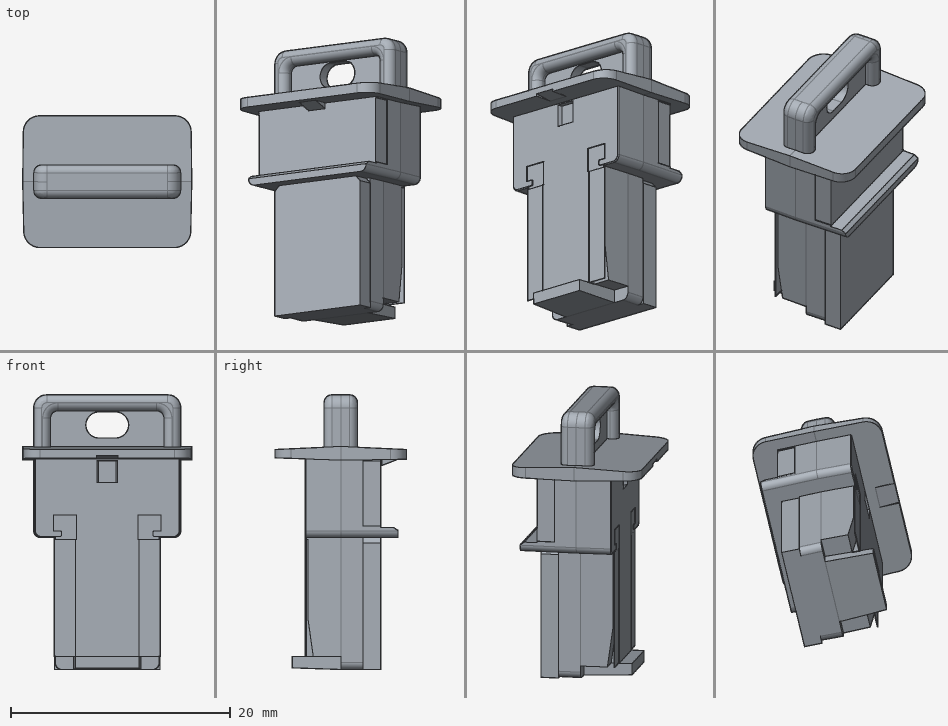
import cadquery as cq

OVERALL_HEIGHT = 25.0
DRAFT = 0.02

PLATE_HALF_WIDTH = 7.7
PLATE_FRONT_HALF_WIDTH = 7.58
PLATE_BACK_HALF_WIDTH = 7.62
PLATE_HALF_DEPTH = 6.0
PLATE_CORNER_RADIUS = 1.5
PLATE_RIDGE_TOP = 20.3
PLATE_EDGE_TOP = 20.02
PLATE_RIDGE_BOTTOM = 19.05
PLATE_FRONT_BOTTOM = 19.25
PLATE_BACK_BOTTOM = 19.12

HANDLE_HALF_WIDTH = 6.7
HANDLE_HALF_DEPTH = 1.52
HANDLE_ROOT = 19.38
HANDLE_END_RADIUS = 1.2
HANDLE_EDGE_RADIUS = 0.72
POCKET_HALF_WIDTH = 5.15
POCKET_TOP = 23.52
POCKET_CORNER_RADIUS = 0.65
WEB_HALF_THICKNESS = 0.55
SLOT_LENGTH = 3.88
SLOT_HEIGHT = 2.35
SLOT_CENTRE_Z = 22.25

COLLAR_HALF_WIDTH = HANDLE_HALF_WIDTH
COLLAR_BOTTOM = 12.0
COLLAR_TOP = 19.38
BODY_FRONT_Y = -3.25
BODY_BACK_Y = 3.65
COLLAR_CORNER_RADIUS = 0.62
COLLAR_FRONT_CHAMFER = 0.1
FIN_BACK_Y = 5.22
FIN_TOP = 12.92
FIN_CHAMFER_DEPTH = 0.4
FIN_CHAMFER_HEIGHT = 0.28
SIDE_RECESS_DEPTH = 0.1
SIDE_RECESS_BOTTOM = 13.05
SIDE_RECESS_TOP = 18.98

LEG_HALF_WIDTH = 4.75
LEG_FRONT_Y = -3.0
LEG_FRONT_BOTTOM = 1.2
LEG_BOTTOM_RADIUS = 0.62
LEG_TAPER_TOP = 4.75
LEG_TAPER_DEPTH = 0.5
BACK_BLOCK_HALF_WIDTH = 4.8
BACK_BLOCK_Y = 2.02
BACK_BLOCK_CHAMFER = 0.5
TONGUE_HALF_WIDTH = 2.88
FOOT_ROOT_HALF_WIDTH = 3.05
FOOT_FRONT_Y = -4.42
FOOT_FRONT_BOTTOM = 0.15

LATCH_HALF_WIDTH = 0.92
LATCH_OUTER_Y = 5.22
LATCH_INNER_Y = 3.72
LATCH_TIP_Z = 18.55
WINDOW_FLOOR_HALF_WIDTH = 0.8
WINDOW_DEPTH = 0.38
WINDOW_BOTTOM = 17.0
WINDOW_TOP = 18.98
GROOVE_HALF_WIDTH = 1.0
GROOVE_FRONT_TOP = 19.48

TERMINAL_HALF_SPAN = 4.82
TERMINAL_BACK_Y = -3.12
TERMINAL_THICKNESS = 0.08
HOOK_HALF_SPAN = 4.9
HOOK_TOP = 14.05
HOOK_INNER_X = 2.78
HOOK_STEP_Z = 11.85
NUB_TIP_X = 4.18
NUB_TOP = 12.62
NUB_BOTTOM = COLLAR_BOTTOM + COLLAR_FRONT_CHAMFER
NUB_RADIUS = 0.12


def block(half_width, y_range, z_range):
    """A box centred on X = 0 between two Y values and two Z values."""
    front, back = y_range
    bottom, top = z_range
    corner = cq.Workplane("XY", origin=(0, front, bottom))
    return corner.box(2 * half_width, back - front, top - bottom, centered=(True, False, False))


def side_profile(points, half_width):
    """A (Y, Z) outline extruded symmetrically along X."""
    return cq.Workplane("YZ").polyline(points).close().extrude(half_width, both=True)


def drafted_block(half_width, y_range, z_range):
    """A block like block(), but narrowing in X with distance from the parting plane."""
    front, back = y_range
    front_half_width = half_width - DRAFT * abs(front)
    back_half_width = half_width - DRAFT * abs(back)
    right_side = [(front_half_width, front), (half_width, 0), (back_half_width, back)]
    left_side = [(-x, y) for x, y in reversed(right_side)]
    outline = right_side + left_side
    bottom, top = z_range
    return cq.Workplane("XY").workplane(offset=bottom).polyline(outline).close().extrude(top - bottom)


def corner_edges(body, half_width, z):
    """The edges of a drafted block that run along Y at X = +-half_width and height z."""
    reach = 0.25
    picked = body.newObject([])
    for x in (-half_width, half_width):
        corner_box = cq.selectors.BoxSelector(
            (x - reach, -PLATE_HALF_DEPTH, z - reach), (x + reach, PLATE_HALF_DEPTH, z + reach)
        )
        picked = picked.add(body.edges(corner_box))
    return picked


def make_plate():
    half_depth = PLATE_HALF_DEPTH
    gable = side_profile(
        [
            (-half_depth, PLATE_FRONT_BOTTOM),
            (0, PLATE_RIDGE_BOTTOM),
            (half_depth, PLATE_BACK_BOTTOM),
            (half_depth, PLATE_EDGE_TOP),
            (0, PLATE_RIDGE_TOP),
            (-half_depth, PLATE_EDGE_TOP),
        ],
        PLATE_HALF_WIDTH,
    )
    outline = (
        cq.Workplane("XY")
        .polyline(
            [
                (-PLATE_FRONT_HALF_WIDTH, -half_depth),
                (PLATE_FRONT_HALF_WIDTH, -half_depth),
                (PLATE_HALF_WIDTH, 0),
                (PLATE_BACK_HALF_WIDTH, half_depth),
                (-PLATE_BACK_HALF_WIDTH, half_depth),
                (-PLATE_HALF_WIDTH, 0),
            ]
        )
        .close()
        .extrude(OVERALL_HEIGHT)
        .edges("|Z and (<Y or >Y)")
        .fillet(PLATE_CORNER_RADIUS)
    )
    return gable.intersect(outline)


def make_handle():
    depth_range = (-HANDLE_HALF_DEPTH, HANDLE_HALF_DEPTH)
    bar = drafted_block(HANDLE_HALF_WIDTH, depth_range, (HANDLE_ROOT, OVERALL_HEIGHT))
    bar = corner_edges(bar, HANDLE_HALF_WIDTH, OVERALL_HEIGHT).fillet(HANDLE_END_RADIUS)
    pocket = block(POCKET_HALF_WIDTH, depth_range, (HANDLE_ROOT, POCKET_TOP))
    pocket = pocket.edges("|Y and >Z").fillet(POCKET_CORNER_RADIUS)
    web = block(POCKET_HALF_WIDTH, (-WEB_HALF_THICKNESS, WEB_HALF_THICKNESS), (HANDLE_ROOT, POCKET_TOP))
    rim = bar.cut(pocket.cut(web))
    rim = rim.faces("<Y or >Y").edges("not <Z").fillet(HANDLE_EDGE_RADIUS)
    slot = (
        cq.Workplane("XZ")
        .center(0, SLOT_CENTRE_Z)
        .slot2D(SLOT_LENGTH, SLOT_HEIGHT)
        .extrude(HANDLE_HALF_DEPTH, both=True)
    )
    return rim.cut(slot)


def make_collar():
    collar = drafted_block(COLLAR_HALF_WIDTH, (BODY_FRONT_Y, FIN_BACK_Y), (COLLAR_BOTTOM, COLLAR_TOP))
    collar = corner_edges(collar, COLLAR_HALF_WIDTH, COLLAR_BOTTOM).fillet(COLLAR_CORNER_RADIUS)
    collar = collar.faces("<Y").edges("not >Z").chamfer(COLLAR_FRONT_CHAMFER)
    above_fin = side_profile(
        [
            (BODY_BACK_Y, COLLAR_TOP),
            (BODY_BACK_Y, FIN_TOP),
            (FIN_BACK_Y - FIN_CHAMFER_DEPTH, FIN_TOP),
            (FIN_BACK_Y, FIN_TOP - FIN_CHAMFER_HEIGHT),
            (FIN_BACK_Y, COLLAR_TOP),
        ],
        COLLAR_HALF_WIDTH,
    )
    recess_z = (SIDE_RECESS_BOTTOM, SIDE_RECESS_TOP)
    kept_core = drafted_block(COLLAR_HALF_WIDTH - SIDE_RECESS_DEPTH, (BODY_FRONT_Y, BODY_BACK_Y), recess_z)
    side_recesses = block(COLLAR_HALF_WIDTH, (BACK_BLOCK_Y, BODY_BACK_Y), recess_z).cut(kept_core)
    return collar.cut(above_fin).cut(side_recesses)


def make_leg():
    core = drafted_block(LEG_HALF_WIDTH, (TERMINAL_BACK_Y, BACK_BLOCK_Y), (0, COLLAR_BOTTOM))
    core = corner_edges(core, LEG_HALF_WIDTH, 0).fillet(LEG_BOTTOM_RADIUS)
    profile = side_profile(
        [
            (BACK_BLOCK_Y, 0),
            (0, 0),
            (0, LEG_FRONT_BOTTOM),
            (LEG_FRONT_Y + LEG_TAPER_DEPTH, LEG_FRONT_BOTTOM),
            (LEG_FRONT_Y, LEG_TAPER_TOP),
            (LEG_FRONT_Y, HOOK_STEP_Z),
            (TERMINAL_BACK_Y, HOOK_STEP_Z),
            (TERMINAL_BACK_Y, COLLAR_BOTTOM),
            (BACK_BLOCK_Y, COLLAR_BOTTOM),
        ],
        LEG_HALF_WIDTH,
    )
    core = core.intersect(profile)
    back = block(BACK_BLOCK_HALF_WIDTH, (BACK_BLOCK_Y, BODY_BACK_Y), (0, COLLAR_BOTTOM))
    back = back.edges("|Y and >Z").chamfer(BACK_BLOCK_CHAMFER)
    tongue = block(TONGUE_HALF_WIDTH, (BODY_FRONT_Y, 0), (LEG_FRONT_BOTTOM, HOOK_STEP_Z))
    tongue_neck = block(HOOK_INNER_X, (BODY_FRONT_Y, 0), (HOOK_STEP_Z, NUB_BOTTOM))
    return core.union(back).union(tongue).union(tongue_neck)


def make_foot():
    side = side_profile(
        [
            (0, 0),
            (0, LEG_FRONT_BOTTOM),
            (FOOT_FRONT_Y, LEG_FRONT_BOTTOM),
            (FOOT_FRONT_Y, FOOT_FRONT_BOTTOM),
        ],
        FOOT_ROOT_HALF_WIDTH,
    )
    outline = (
        cq.Workplane("XY")
        .polyline(
            [
                (-FOOT_ROOT_HALF_WIDTH, 0),
                (-TONGUE_HALF_WIDTH, FOOT_FRONT_Y),
                (TONGUE_HALF_WIDTH, FOOT_FRONT_Y),
                (FOOT_ROOT_HALF_WIDTH, 0),
            ]
        )
        .close()
        .extrude(LEG_FRONT_BOTTOM)
    )
    return side.intersect(outline)


def make_latch():
    return side_profile(
        [
            (LATCH_OUTER_Y, PLATE_BACK_BOTTOM),
            (LATCH_INNER_Y, LATCH_TIP_Z),
            (LATCH_INNER_Y, PLATE_EDGE_TOP),
            (LATCH_OUTER_Y, PLATE_EDGE_TOP),
        ],
        LATCH_HALF_WIDTH,
    )


def make_window_cut():
    """Pocket in the collar front whose sloping ceiling runs out through the plate edge."""
    floor_y = BODY_FRONT_Y + WINDOW_DEPTH
    ceiling_slope = (GROOVE_FRONT_TOP - WINDOW_TOP) / (-PLATE_HALF_DEPTH - floor_y)
    mouth_top = WINDOW_TOP + ceiling_slope * (BODY_FRONT_Y - floor_y)
    pocket = (
        cq.Workplane("XY")
        .workplane(offset=WINDOW_BOTTOM)
        .polyline(
            [
                (-LATCH_HALF_WIDTH, BODY_FRONT_Y),
                (LATCH_HALF_WIDTH, BODY_FRONT_Y),
                (WINDOW_FLOOR_HALF_WIDTH, floor_y),
                (-WINDOW_FLOOR_HALF_WIDTH, floor_y),
            ]
        )
        .close()
        .extrude(mouth_top - WINDOW_BOTTOM)
    )
    pocket = pocket.intersect(
        side_profile(
            [
                (BODY_FRONT_Y, WINDOW_BOTTOM),
                (floor_y, WINDOW_BOTTOM),
                (floor_y, WINDOW_TOP),
                (BODY_FRONT_Y, mouth_top),
            ],
            LATCH_HALF_WIDTH,
        )
    )
    groove = side_profile(
        [
            (-PLATE_HALF_DEPTH, PLATE_RIDGE_BOTTOM),
            (-PLATE_HALF_DEPTH, GROOVE_FRONT_TOP),
            (BODY_FRONT_Y, mouth_top),
        ],
        GROOVE_HALF_WIDTH,
    )
    return pocket.union(groove)


def terminal_blank(side, front_y):
    """Terminal outline on the side +1 or -1 of X, from its back face out to front_y."""
    outline = [
        (TONGUE_HALF_WIDTH, LEG_FRONT_BOTTOM),
        (TERMINAL_HALF_SPAN, LEG_FRONT_BOTTOM),
        (TERMINAL_HALF_SPAN, NUB_BOTTOM),
        (NUB_TIP_X, NUB_BOTTOM),
        (NUB_TIP_X, NUB_TOP),
        (HOOK_HALF_SPAN, NUB_TOP),
        (HOOK_HALF_SPAN, HOOK_TOP),
        (HOOK_INNER_X, HOOK_TOP),
        (HOOK_INNER_X, HOOK_STEP_Z),
        (TONGUE_HALF_WIDTH, HOOK_STEP_Z),
    ]
    blank = (
        cq.Workplane("XZ", origin=(0, TERMINAL_BACK_Y, 0))
        .polyline([(side * x, z) for x, z in outline])
        .close()
        .extrude(TERMINAL_BACK_Y - front_y)
    )
    nub_tip = cq.selectors.BoxSelector(
        (side * (NUB_TIP_X - NUB_RADIUS), front_y, NUB_BOTTOM - NUB_RADIUS),
        (side * (NUB_TIP_X + NUB_RADIUS), TERMINAL_BACK_Y, NUB_TOP + NUB_RADIUS),
    )
    return blank.edges("|Y").edges(nub_tip).fillet(NUB_RADIUS)


def make_terminal(side):
    return terminal_blank(side, TERMINAL_BACK_Y - TERMINAL_THICKNESS)


def make_housing():
    housing = make_plate()
    for feature in (make_handle(), make_collar(), make_leg(), make_foot(), make_latch()):
        housing = housing.union(feature)
    housing = housing.cut(make_window_cut())
    for side in (-1, 1):
        housing = housing.cut(terminal_blank(side, BODY_FRONT_Y))
    return housing


housing = make_housing()
terminals = [make_terminal(side) for side in (-1, 1)]

result = cq.Compound.makeCompound([housing.val(), *[terminal.val() for terminal in terminals]])